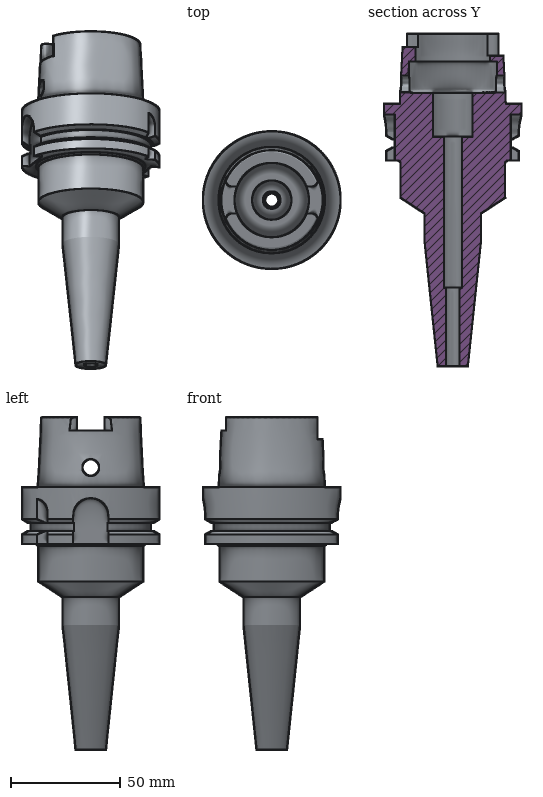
import cadquery as cq
import math

SHANK_TOP = 32.0
FLANGE_BOTTOM = -26.0
BODY_BOTTOM = -43.0
NECK_TOP = -50.2
NOSE_TOP = -63.0
NOSE_TIP = -120.0

SHANK_BASE_R = 24.35
SHANK_TAPER = 9.98
SHANK_TOP_R = SHANK_BASE_R - SHANK_TOP / SHANK_TAPER / 2
SHANK_RIM_RADIUS = 1.0
FLANGE_R = 31.5
BODY_R = 24.0
BODY_RELIEF_R = 25.0
BODY_RELIEF_HEIGHT = 0.9
NECK_R = 13.0
NOSE_TIP_R = 7.0

GROOVE_R = 27.6
GROOVE_CENTER = -18.1
GROOVE_MOUTH_WIDTH = 7.0
GROOVE_FLOOR_WIDTH = 3.75
GROOVE_WALL_ANGLE = math.radians(30)
GROOVE_WALL_HEIGHT = (GROOVE_MOUTH_WIDTH - GROOVE_FLOOR_WIDTH) / 2
GROOVE_WALL_FOOT_R = FLANGE_R - GROOVE_WALL_HEIGHT / math.tan(GROOVE_WALL_ANGLE)

MOUTH_BORE_R = 17.0
CHAMBER_R = 20.0
CHAMBER_TOP = 19.2
CHAMBER_FLOOR = 5.0
CHAMBER_FLOOR_FILLET = 1.5
COOLANT_BORE_R = 9.0
COOLANT_BORE_FLOOR = -15.0
CLEARANCE_BORE_R = 4.0
CLAMP_BORE_R = 3.0
CLAMP_BORE_LENGTH = 36.0

DRIVE_SLOT_WIDTH = 12.4
LEFT_DRIVE_SLOT_FLOOR = 26.0
RIGHT_DRIVE_SLOT_FLOOR = 22.0
DRIVE_SLOT_LIP_RADIUS = 2.5
LOBE_HALF_LENGTH = 20.9

CROSS_HOLE_DIAMETER = 7.5
CROSS_HOLE_HEIGHT = 9.0

KEYWAY_CROWN = -5.0
KEYWAY_FLOOR = 26.5
LEFT_KEYWAY_WIDTH = 16.0
RIGHT_KEYWAY_WIDTH = 18.0

NOTCH_CORNER = 19.8
NOTCH_RADIUS = 6.0
NOTCH_CROWN = -5.2


def outer_body():
    mouth_half = GROOVE_MOUTH_WIDTH / 2
    floor_half = GROOVE_FLOOR_WIDTH / 2
    profile = [
        (0, SHANK_TOP),
        (SHANK_TOP_R, SHANK_TOP),
        (SHANK_BASE_R, 0),
        (FLANGE_R, 0),
        (FLANGE_R, GROOVE_CENTER + mouth_half),
        (GROOVE_WALL_FOOT_R, GROOVE_CENTER + floor_half),
        (GROOVE_R, GROOVE_CENTER + floor_half),
        (GROOVE_R, GROOVE_CENTER - floor_half),
        (GROOVE_WALL_FOOT_R, GROOVE_CENTER - floor_half),
        (FLANGE_R, GROOVE_CENTER - mouth_half),
        (FLANGE_R, FLANGE_BOTTOM),
        (BODY_RELIEF_R, FLANGE_BOTTOM),
        (BODY_R, FLANGE_BOTTOM - BODY_RELIEF_HEIGHT),
        (BODY_R, BODY_BOTTOM),
        (NECK_R, NECK_TOP),
        (NECK_R, NOSE_TOP),
        (NOSE_TIP_R, NOSE_TIP),
        (0, NOSE_TIP),
    ]
    body = cq.Workplane("XZ").polyline(profile).close().revolve(360, (0, 0), (0, 1))
    return body.faces(">Z").edges().fillet(SHANK_RIM_RADIUS)


def bore_section(radius, top, bottom):
    return cq.Workplane("XY", origin=(0, 0, bottom)).circle(radius).extrude(top - bottom)


def bore():
    clamp_top = NOSE_TIP + CLAMP_BORE_LENGTH
    mouth = bore_section(MOUTH_BORE_R, SHANK_TOP, CHAMBER_TOP)
    chamber = bore_section(CHAMBER_R, CHAMBER_TOP, CHAMBER_FLOOR)
    chamber = chamber.faces("<Z").edges().fillet(CHAMBER_FLOOR_FILLET)
    coolant = bore_section(COOLANT_BORE_R, CHAMBER_FLOOR, COOLANT_BORE_FLOOR)
    clearance = bore_section(CLEARANCE_BORE_R, COOLANT_BORE_FLOOR, clamp_top)
    clamp = bore_section(CLAMP_BORE_R, clamp_top, NOSE_TIP)
    return mouth.union(chamber).union(coolant).union(clearance).union(clamp)


def drive_slot(side, floor):
    """Slot through the shank wall, with rounded lips opening past the lobe ends; side is -1 or +1 along X."""
    half = DRIVE_SLOT_WIDTH / 2
    lip = DRIVE_SLOT_LIP_RADIUS
    lip_start = LOBE_HALF_LENGTH - lip
    outside = FLANGE_R
    outline = (
        cq.Workplane("XY", origin=(0, 0, floor))
        .moveTo(0, -half)
        .lineTo(side * lip_start, -half)
        .radiusArc((side * LOBE_HALF_LENGTH, -half - lip), side * lip)
        .lineTo(side * LOBE_HALF_LENGTH, -outside)
        .lineTo(side * outside, -outside)
        .lineTo(side * outside, outside)
        .lineTo(side * LOBE_HALF_LENGTH, outside)
        .lineTo(side * LOBE_HALF_LENGTH, half + lip)
        .radiusArc((side * lip_start, half), side * lip)
        .lineTo(0, half)
        .close()
    )
    return outline.extrude(SHANK_TOP - floor)


def round_topped_slot(center_y, radius, crown, floor_x, side):
    """Cutter with a semicircular top, open at the flange bottom, reaching outward from floor_x."""
    arc_height = crown - radius
    depth = FLANGE_R - floor_x
    shape = (
        cq.Workplane("YZ", origin=(side * floor_x, 0, 0))
        .moveTo(center_y - radius, FLANGE_BOTTOM)
        .lineTo(center_y - radius, arc_height)
        .threePointArc((center_y, crown), (center_y + radius, arc_height))
        .lineTo(center_y + radius, FLANGE_BOTTOM)
        .close()
    )
    return shape.extrude(side * depth)


def keyway(side, width):
    return round_topped_slot(0, width / 2, KEYWAY_CROWN, KEYWAY_FLOOR, side)


def corner_notch():
    center_y = NOTCH_CORNER + NOTCH_RADIUS
    return round_topped_slot(center_y, NOTCH_RADIUS, NOTCH_CROWN, NOTCH_CORNER, -1)


def cross_hole():
    plane = cq.Workplane("YZ", origin=(0, 0, CROSS_HOLE_HEIGHT))
    return plane.circle(CROSS_HOLE_DIAMETER / 2).extrude(SHANK_BASE_R, both=True)


result = (
    outer_body()
    .cut(bore())
    .cut(drive_slot(-1, LEFT_DRIVE_SLOT_FLOOR))
    .cut(drive_slot(1, RIGHT_DRIVE_SLOT_FLOOR))
    .cut(cross_hole())
    .cut(keyway(-1, LEFT_KEYWAY_WIDTH))
    .cut(keyway(1, RIGHT_KEYWAY_WIDTH))
    .cut(corner_notch())
)